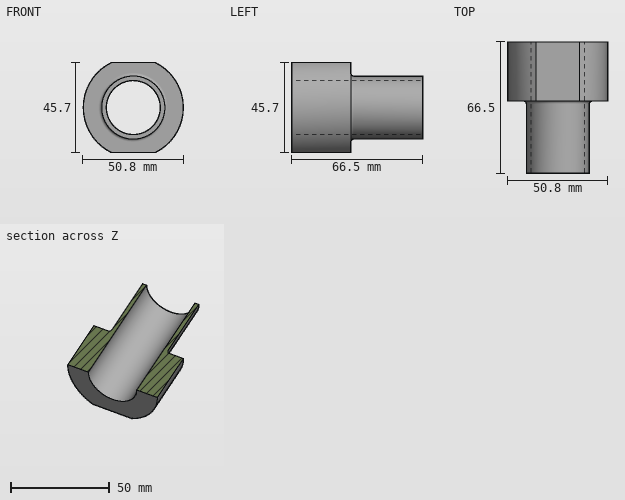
import cadquery as cq

total_length = 66.55
head_length = 30.0
head_diameter = 50.8
across_flats = 45.72
tube_diameter = 32.0
bore_diameter = 27.23
neck_fillet = 1.5

tube_length = total_length - head_length


def cylinder_along_y(diameter, start, length):
    """Solid cylinder on the Y axis, running toward +Y from start."""
    plane = cq.Workplane("XZ", origin=(0, start, 0))
    return plane.circle(diameter / 2).extrude(-length)


def make_head():
    """Round head trimmed to two parallel wrench flats, above and below."""
    head = cylinder_along_y(head_diameter, 0, head_length)
    envelope = cq.Workplane("XY").box(head_diameter, 2 * head_length, across_flats)
    return head.intersect(envelope)


def make_body():
    """Head and tube joined, with a fillet where the tube meets the head."""
    tube = cylinder_along_y(tube_diameter, -tube_length, tube_length)
    body = make_head().union(tube)
    neck_edge = cq.selectors.RadiusNthSelector(0)
    return body.faces("<Y[1]").edges(neck_edge).fillet(neck_fillet)


bore = cylinder_along_y(bore_diameter, -tube_length, total_length)
result = make_body().cut(bore)